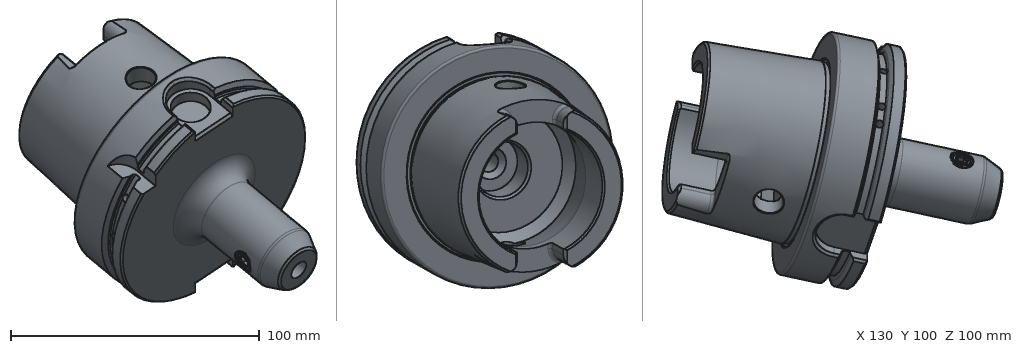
import cadquery as cq
import math


total_length = 130
taper_length = 49.9
nose_end = total_length - taper_length
tail_end = -taper_length

taper_large_radius = 37.7
taper_small_radius = 35.4
tail_chamfer = 0.9
relief_length = 1.4
relief_radius = 37.3
face_relief_radius = 39.1
face_relief_depth = 0.5

flange_radius = 100.0 / 2
flange_width = 29.0
flange_rear_fillet = 1.0
flange_front_chamfer = 0.8
groove_floor_radius = 45.9
groove_wall_radius = 47.6
groove_floor_chamfer = 0.6
groove_floor_end = 21.7
groove_wall_start = 18.2
groove_floor_start = groove_wall_start + groove_floor_chamfer
groove_wall_end = 22.1
groove_rim_start = 17.0
groove_rim_end = 23.5

nose_radius = 14.0
nose_root_fillet = 8.0
nose_cone_length = 8.6
nose_cone_radius = 10.5
nose_shoulder_fillet = 2.6
nose_tip_chamfer = 0.9

socket_radius = 26.5
socket_depth = 44.2
socket_chamfer = 0.8
socket_lip_length = 20.0
socket_cone_length = 19.9
socket_inner_radius = 29.9
socket_floor_radius = 25.7
coolant_radius = 11.3
coolant_depth = 13
coolant_chamfer = 1.0
tool_bore_radius = 4.0
tool_bore_countersink_radius = 6.5

drive_slot_half_width = 9.9
drive_slot_shoulder_height = 32.2
drive_slot_shoulder_radius = 5.2
drive_slot_floor_fillet = 1.4
drive_slot_entry_chamfer = 1.2
top_drive_slot_depth = 10.0
bottom_drive_slot_depth = 15.0

cross_hole_radius = 6.0
cross_hole_chamfer = 0.32
cross_hole_x = tail_end + 35.0

keyway_half_width = 10.0
keyway_centre_x = 15.0
keyway_floor_height = 43.8
keyway_edge_chamfer = 1.2
recess_radius = 8.0
recess_depth = 5.2

notch_depth = 31.6
notch_radius = 10.0
notch_centre_x = 17.7

balance_hole_radius = 1.62
balance_hole_depth = 9.1
balance_hole_angles = (30, 5, -20, -30)

screw_x = nose_end - 18.2
screw_radius = 4.0
screw_chamfer = 0.5
screw_recess = 0.5
screw_hole_mouth_radius = 4.8
hex_across_flats = 4.0
hex_depth = 2.6
hex_mouth_radius = 2.6
scoop_x = nose_end - 20.5
scoop_radius = 22.1
scoop_depth = 0.8


margin = 0.03


def edges_within(body, low, high):
    """Edges inside a box given by two corners, together with those inside its mirror image in Z."""
    found = []
    for sign in (1, -1):
        corners = [
            tuple(value - margin for value in (low[0], low[1], min(sign * low[2], sign * high[2]))),
            tuple(value + margin for value in (high[0], high[1], max(sign * low[2], sign * high[2]))),
        ]
        found += body.edges(cq.selectors.BoxSelector(*corners, boundingbox=True)).vals()
    return found


def revolve_about_axis(profile):
    return profile.close().revolve(360, (0, 0, 0), (1, 0, 0))


def outer_body():
    cone_start = nose_end - nose_cone_length
    profile = (
        cq.Workplane("XZ")
        .moveTo(tail_end, 0)
        .lineTo(tail_end, taper_small_radius - tail_chamfer)
        .lineTo(tail_end + tail_chamfer, taper_small_radius)
        .lineTo(-relief_length, taper_large_radius)
        .lineTo(-relief_length, relief_radius)
        .lineTo(face_relief_depth, relief_radius)
        .lineTo(face_relief_depth, face_relief_radius - face_relief_depth)
        .lineTo(0, face_relief_radius)
        .lineTo(0, flange_radius - flange_rear_fillet)
        .radiusArc((flange_rear_fillet, flange_radius), flange_rear_fillet)
        .lineTo(groove_rim_start, flange_radius)
        .lineTo(groove_wall_start, groove_wall_radius)
        .lineTo(groove_wall_start, groove_floor_radius + groove_floor_chamfer)
        .lineTo(groove_floor_start, groove_floor_radius)
        .lineTo(groove_floor_end, groove_floor_radius)
        .lineTo(groove_wall_end, groove_wall_radius)
        .lineTo(groove_rim_end, flange_radius)
        .lineTo(flange_width - flange_front_chamfer, flange_radius)
        .lineTo(flange_width, flange_radius - flange_front_chamfer)
        .lineTo(flange_width, nose_radius + nose_root_fillet)
        .radiusArc((flange_width + nose_root_fillet, nose_radius), -nose_root_fillet)
        .lineTo(cone_start, nose_radius)
        .lineTo(nose_end - nose_tip_chamfer, nose_cone_radius)
        .lineTo(nose_end, nose_cone_radius - nose_tip_chamfer)
        .lineTo(nose_end, 0)
    )
    body = revolve_about_axis(profile)
    shoulder = cq.selectors.BoxSelector(
        (cone_start - 0.1, -nose_radius - 1.3, -nose_radius - 1.3),
        (cone_start + 0.1, nose_radius + 1.3, nose_radius + 1.3),
        boundingbox=True,
    )
    return body.edges(shoulder).fillet(nose_shoulder_fillet)


def axial_bores():
    socket_floor = tail_end + socket_depth
    cone_start = tail_end + socket_lip_length
    coolant_floor = socket_floor + coolant_depth
    countersink_depth = tool_bore_countersink_radius - tool_bore_radius
    profile = (
        cq.Workplane("XZ")
        .moveTo(tail_end, 0)
        .lineTo(tail_end, socket_radius + socket_chamfer)
        .lineTo(tail_end + socket_chamfer, socket_radius)
        .lineTo(cone_start, socket_radius)
        .lineTo(cone_start + socket_cone_length, socket_inner_radius)
        .lineTo(socket_floor, socket_floor_radius)
        .lineTo(socket_floor, coolant_radius + coolant_chamfer)
        .lineTo(socket_floor + coolant_chamfer, coolant_radius)
        .lineTo(coolant_floor, coolant_radius)
        .lineTo(coolant_floor, tool_bore_countersink_radius)
        .lineTo(coolant_floor + countersink_depth, tool_bore_radius)
        .lineTo(nose_end, tool_bore_radius)
        .lineTo(nose_end, 0)
    )
    return revolve_about_axis(profile)


def drive_slot(depth):
    """A slot in +Z with rounded shoulders, a filleted floor and a chamfered entry."""
    outer_y = drive_slot_half_width + drive_slot_shoulder_radius
    side_y = taper_large_radius
    shoulder_start = drive_slot_shoulder_height - drive_slot_shoulder_radius
    bottom = socket_radius / 2
    top = taper_large_radius + 1.3
    slot = (
        cq.Workplane("YZ", origin=(tail_end, 0, 0))
        .moveTo(-drive_slot_half_width, bottom)
        .lineTo(drive_slot_half_width, bottom)
        .lineTo(drive_slot_half_width, shoulder_start)
        .radiusArc((outer_y, drive_slot_shoulder_height), drive_slot_shoulder_radius)
        .lineTo(side_y, drive_slot_shoulder_height)
        .lineTo(side_y, top)
        .lineTo(-side_y, top)
        .lineTo(-side_y, drive_slot_shoulder_height)
        .lineTo(-outer_y, drive_slot_shoulder_height)
        .radiusArc((-drive_slot_half_width, shoulder_start), drive_slot_shoulder_radius)
        .close()
        .extrude(depth)
    )
    floor_corners = cq.selectors.BoxSelector(
        (tail_end + depth - 0.1, -side_y + 0.1, bottom + 0.1),
        (tail_end + depth + 0.1, side_y - 0.1, top - 0.1),
    )
    slot = slot.edges(floor_corners).fillet(drive_slot_floor_fillet)
    entry_half_width = drive_slot_half_width + drive_slot_entry_chamfer
    entry = (
        cq.Workplane("XY", origin=(0, 0, bottom))
        .moveTo(tail_end, -entry_half_width)
        .lineTo(tail_end + drive_slot_entry_chamfer, -drive_slot_half_width)
        .lineTo(tail_end + drive_slot_entry_chamfer, drive_slot_half_width)
        .lineTo(tail_end, entry_half_width)
        .close()
        .extrude(drive_slot_shoulder_height - bottom)
    )
    return slot.union(entry)


def cross_hole():
    """A hole along Z through both walls of the taper shank."""
    hole = cq.Workplane("XY").center(cross_hole_x, 0).circle(cross_hole_radius)
    return hole.extrude(taper_large_radius + 1.3, both=True)


def keyway():
    """A keyway in +Z with a round rear end, open at the front, where its floor edge is chamfered."""
    height = flange_radius - keyway_floor_height + 1.3
    straight = flange_width + 1.3 - keyway_centre_x
    plane = cq.Workplane("XY", origin=(keyway_centre_x, 0, keyway_floor_height))
    round_end = plane.circle(keyway_half_width).extrude(height)
    channel = plane.center(straight / 2, 0).rect(straight, 2 * keyway_half_width).extrude(height)
    floor_chamfer = (
        cq.Workplane("XZ")
        .moveTo(flange_width - keyway_edge_chamfer, keyway_floor_height)
        .lineTo(flange_width, keyway_floor_height - keyway_edge_chamfer)
        .lineTo(flange_width, keyway_floor_height)
        .close()
        .extrude(keyway_half_width, both=True)
    )
    return round_end.union(channel).union(floor_chamfer)


def chamfer_keyway_rims(body):
    """Chamfer the rims of both keyways."""
    rim_height = math.sqrt(flange_radius**2 - keyway_half_width**2)
    rims = edges_within(
        body,
        (0, -keyway_half_width, rim_height),
        (flange_width - flange_front_chamfer, keyway_half_width, flange_radius),
    )
    return body.newObject(rims).chamfer(keyway_edge_chamfer)


def chamfer_cross_hole(body):
    """Chamfer the outer rims of the cross hole."""
    rims = edges_within(
        body,
        (cross_hole_x - cross_hole_radius, -cross_hole_radius, taper_small_radius - 1.3),
        (cross_hole_x + cross_hole_radius, cross_hole_radius, taper_large_radius),
    )
    return body.newObject(rims).chamfer(cross_hole_chamfer)


def mirrored(cutter):
    return cutter.mirror("XY")


def orientation_notch():
    """A square-cornered cut in the (-Y, +Z) flank, whose wall curves outward at its rear end."""
    height = flange_radius - notch_depth
    front = flange_width + 1.3
    wall_y = -notch_depth
    return (
        cq.Workplane("XY", origin=(0, 0, notch_depth))
        .moveTo(front, wall_y)
        .lineTo(notch_centre_x, wall_y)
        .radiusArc((notch_centre_x - notch_radius, wall_y - notch_radius), -notch_radius)
        .lineTo(notch_centre_x - notch_radius, -flange_radius)
        .lineTo(front, -flange_radius)
        .close()
        .extrude(height)
    )


def balance_hole(angle):
    centre_x = (groove_floor_start + groove_floor_end) / 2
    hole = (
        cq.Workplane("XZ", origin=(centre_x, -groove_floor_radius + balance_hole_depth, 0))
        .circle(balance_hole_radius)
        .extrude(balance_hole_depth + 1.3)
    )
    return hole.rotate((0, 0, 0), (1, 0, 0), -angle)


def screw_hole():
    """A hole from the -Y side of the nose to the axis, with a countersunk mouth."""
    countersink_depth = screw_hole_mouth_radius - screw_radius
    mouth_y = -math.sqrt(nose_radius**2 - screw_hole_mouth_radius**2)
    return (
        cq.Workplane("XY")
        .moveTo(0, 0)
        .lineTo(screw_radius, 0)
        .lineTo(screw_radius, mouth_y + countersink_depth)
        .lineTo(screw_hole_mouth_radius, mouth_y)
        .lineTo(screw_hole_mouth_radius, -nose_radius - 1.3)
        .lineTo(0, -nose_radius - 1.3)
        .close()
        .revolve(360, (0, 0, 0), (0, 1, 0))
        .translate((screw_x, 0, 0))
    )


def scoop():
    """A shallow round-bottomed cut across the +Y side of the nose."""
    centre_y = nose_radius - scoop_depth + scoop_radius
    return cq.Workplane("XY").center(scoop_x, centre_y).circle(scoop_radius).extrude(nose_radius, both=True)


def make_holder():
    body = outer_body().cut(axial_bores())
    body = body.cut(drive_slot(top_drive_slot_depth))
    body = body.cut(mirrored(drive_slot(bottom_drive_slot_depth)))
    body = chamfer_cross_hole(body.cut(cross_hole()))
    body = chamfer_keyway_rims(body.cut(keyway()).cut(mirrored(keyway())))
    recess = (
        cq.Workplane("XY", origin=(keyway_centre_x, 0, keyway_floor_height))
        .circle(recess_radius)
        .extrude(-recess_depth)
    )
    body = body.cut(recess)
    body = body.cut(orientation_notch())
    for angle in balance_hole_angles:
        body = body.cut(balance_hole(angle))
    return body.cut(screw_hole()).cut(scoop())


def make_screw():
    """A headless hexagon-socket screw along Y, reaching in to the wall of the tool bore."""
    length = nose_radius - screw_recess - tool_bore_radius
    screw = (
        cq.Workplane("XZ", origin=(screw_x, -tool_bore_radius, 0))
        .circle(screw_radius)
        .extrude(length)
        .faces("<Y")
        .chamfer(screw_chamfer)
    )
    hex_diameter = hex_across_flats / math.cos(math.pi / 6)
    outer_end = -tool_bore_radius - length
    hexagon = cq.Workplane("XZ", origin=(screw_x, outer_end, 0)).polygon(6, hex_diameter).extrude(-hex_depth)
    socket_mouth = cq.Workplane(
        cq.Solid.makeCone(
            hex_mouth_radius, 0, hex_mouth_radius, cq.Vector(screw_x, outer_end, 0), cq.Vector(0, 1, 0)
        )
    )
    return screw.cut(hexagon).cut(socket_mouth)


holder = make_holder()
screw = make_screw()
result = cq.Compound.makeCompound([holder.val(), screw.val()])